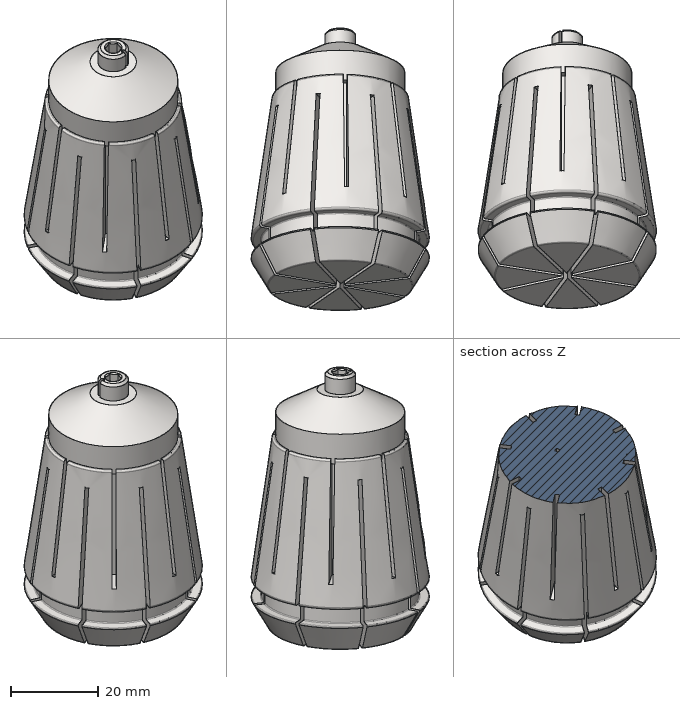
import cadquery as cq
import math

MOUTH_RADIUS = 16.6
MOUTH_FILLET = 0.3
NOSE_TOP_Z = 7.0
NOSE_ANGLE = 30.0
NOSE_RIM_RADIUS = 20.42
NOSE_RIM_Z = (NOSE_RIM_RADIUS - MOUTH_RADIUS) / math.tan(math.radians(NOSE_ANGLE))
NOSE_RIM_FILLET = 0.2
GROOVE_RADIUS = 18.1
GROOVE_TOP_Z = 11.1
GROOVE_FILLET = 0.2
TAPER_ANGLE = 8.0
TAPER_BASE_RADIUS = 20.5
TAPER_RIM_FILLET = 0.5
SHOULDER_Z = 46.0
SHOULDER_RADIUS = TAPER_BASE_RADIUS - (SHOULDER_Z - GROOVE_TOP_Z) * math.tan(math.radians(TAPER_ANGLE))
SHOULDER_FILLET = 0.5

CAP_RADIUS = 29.6 / 2
CAP_BOTTOM_Z = 44.7
CAP_EDGE_Z = 52.0
CAP_CONE_ANGLE = 30.0
CAP_FLAT_RADIUS = 5.3
CAP_TOP_Z = CAP_EDGE_Z + (CAP_RADIUS - CAP_FLAT_RADIUS) * math.tan(math.radians(CAP_CONE_ANGLE))
CORE_RADIUS = 26.2 / 2

TOP_Z = 61.8
STEM_RADIUS = 3.5
STEM_CHAMFER = 0.6
SOCKET_FLATS = 3.3
SOCKET_DEPTH = 3.0
SOCKET_MOUTH_DIAMETER = 4.0
SOCKET_POINT_DIAMETER = 3.0
SOCKET_POINT_ANGLE = 120.0
KEYWAY_WIDTH = 0.7
KEYWAY_INNER_RADIUS = 2.3
KEYWAY_CAP_RADIUS = 3.1

EDGE_TOLERANCE = 0.01

SLOT_WIDTH = 0.95
SLOT_REACH = NOSE_RIM_RADIUS + 1.0
SLOTS_PER_SET = 8
SLOT_PITCH = 360.0 / SLOTS_PER_SET
LOWER_SLOT_TOP_Z = 41.2
UPPER_SLOT_BOTTOM_Z = 17.0


def fillet_circle(body, radius, z, fillet_radius):
    """Round the circular edge of the given radius at height z."""
    search_box = cq.selectors.BoxSelector(
        (-radius - EDGE_TOLERANCE, -radius - EDGE_TOLERANCE, z - EDGE_TOLERANCE),
        (radius + EDGE_TOLERANCE, radius + EDGE_TOLERANCE, z + EDGE_TOLERANCE),
        boundingbox=True,
    )
    circles = body.edges("%CIRCLE").edges(search_box)
    return circles.edges(cq.selectors.RadiusNthSelector(-1)).fillet(fillet_radius)


def make_collet():
    body = (
        cq.Workplane("XZ")
        .moveTo(0, 0)
        .lineTo(MOUTH_RADIUS, 0)
        .lineTo(NOSE_RIM_RADIUS, NOSE_RIM_Z)
        .lineTo(NOSE_RIM_RADIUS, NOSE_TOP_Z)
        .lineTo(GROOVE_RADIUS, NOSE_TOP_Z)
        .lineTo(GROOVE_RADIUS, GROOVE_TOP_Z)
        .lineTo(TAPER_BASE_RADIUS, GROOVE_TOP_Z)
        .lineTo(SHOULDER_RADIUS, SHOULDER_Z)
        .lineTo(0, SHOULDER_Z)
        .close()
        .revolve(360, (0, 0, 0), (0, 1, 0))
    )
    body = fillet_circle(body, MOUTH_RADIUS, 0, MOUTH_FILLET)
    body = fillet_circle(body, NOSE_RIM_RADIUS, NOSE_TOP_Z, NOSE_RIM_FILLET)
    body = fillet_circle(body, GROOVE_RADIUS, NOSE_TOP_Z, GROOVE_FILLET)
    body = fillet_circle(body, GROOVE_RADIUS, GROOVE_TOP_Z, GROOVE_FILLET)
    body = fillet_circle(body, TAPER_BASE_RADIUS, GROOVE_TOP_Z, TAPER_RIM_FILLET)
    return fillet_circle(body, SHOULDER_RADIUS, SHOULDER_Z, SHOULDER_FILLET)


def make_cap():
    return (
        cq.Workplane("XZ")
        .moveTo(0, CAP_BOTTOM_Z)
        .lineTo(CAP_RADIUS, CAP_BOTTOM_Z)
        .lineTo(CAP_RADIUS, CAP_EDGE_Z)
        .lineTo(CAP_FLAT_RADIUS, CAP_TOP_Z)
        .lineTo(0, CAP_TOP_Z)
        .close()
        .revolve(360, (0, 0, 0), (0, 1, 0))
    )


def make_stem():
    stem = (
        cq.Workplane("XY")
        .workplane(offset=CAP_TOP_Z)
        .circle(STEM_RADIUS)
        .extrude(TOP_Z - CAP_TOP_Z)
    )
    return stem.faces(">Z").edges().chamfer(STEM_CHAMFER)


def radial_slot(inner_radius, bottom_z, top_z, width, outer_radius, angle):
    """Upright slot that runs outwards from inner_radius at the given angle about Z."""
    return (
        cq.Workplane("XY")
        .box(outer_radius - inner_radius, width, top_z - bottom_z, centered=(False, True, False))
        .translate((inner_radius, 0, bottom_z))
        .rotate((0, 0, 0), (0, 0, 1), angle)
    )


def cut_lower_slots(body):
    """Slots open at the mouth and meeting on the axis."""
    for index in range(SLOTS_PER_SET):
        angle = index * SLOT_PITCH
        body = body.cut(radial_slot(0, 0, LOWER_SLOT_TOP_Z, SLOT_WIDTH, SLOT_REACH, angle))
    return body


def cut_upper_slots(body):
    """Slots open at the shoulder, halfway between the lower ones, as deep as the core."""
    for index in range(SLOTS_PER_SET):
        angle = (index + 0.5) * SLOT_PITCH
        slot = radial_slot(CORE_RADIUS, UPPER_SLOT_BOTTOM_Z, SHOULDER_Z, SLOT_WIDTH, SLOT_REACH, angle)
        body = body.cut(slot)
    return body


def make_socket():
    """Hexagon socket with a chamfered mouth and a conical drill point."""
    floor_z = TOP_Z - SOCKET_DEPTH
    corner_diameter = SOCKET_FLATS / math.cos(math.pi / 6)
    hexagon_turn = 30
    hexagon = (
        cq.Workplane("XY")
        .workplane(offset=floor_z)
        .polygon(6, corner_diameter)
        .extrude(SOCKET_DEPTH)
        .rotate((0, 0, 0), (0, 0, 1), hexagon_turn)
    )
    mouth_radius = SOCKET_MOUTH_DIAMETER / 2
    mouth = cq.Solid.makeCone(0, mouth_radius, mouth_radius, pnt=cq.Vector(0, 0, TOP_Z - mouth_radius))
    point_radius = SOCKET_POINT_DIAMETER / 2
    point_depth = point_radius / math.tan(math.radians(SOCKET_POINT_ANGLE / 2))
    point = cq.Solid.makeCone(0, point_radius, point_depth, pnt=cq.Vector(0, 0, floor_z - point_depth))
    return hexagon.union(cq.Workplane(mouth)).union(cq.Workplane(point))


def make_keyway():
    """Keyway along the +X edge of the stem, running down inside the cap into a lower slot."""
    in_stem = radial_slot(KEYWAY_INNER_RADIUS, CAP_TOP_Z, TOP_Z, KEYWAY_WIDTH, STEM_RADIUS, 0)
    in_cap = radial_slot(KEYWAY_INNER_RADIUS, LOWER_SLOT_TOP_Z, CAP_TOP_Z, KEYWAY_WIDTH, KEYWAY_CAP_RADIUS, 0)
    return in_stem.union(in_cap)


collet = cut_upper_slots(cut_lower_slots(make_collet()))
result = collet.union(make_cap()).union(make_stem()).cut(make_socket()).cut(make_keyway())